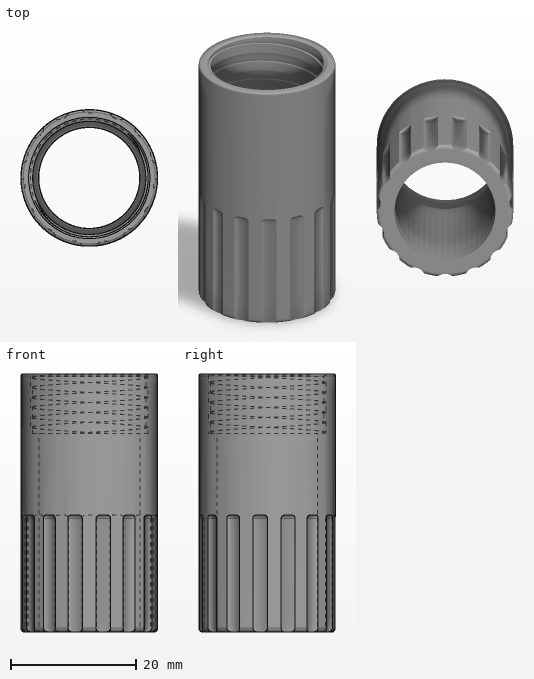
import cadquery as cq
import math

LENGTH = 41.25
OUTER_RADIUS = 21.85 / 2
BORE_RADIUS = 16.15 / 2
TOP_EDGE_RADIUS = 0.37
BOTTOM_EDGE_RADIUS = 0.65

SOCKET_DEPTH = 9.57
CREST_RADIUS = 9.05
ROOT_RADIUS = 9.4
MOUTH_RADIUS = 9.7
MOUTH_DEPTH = 0.4
PITCH = 3.18
GROOVE_WIDTH = PITCH / 2
THREAD_ANGLE = 45.0
START_DEPTH = 12.15
TURNS = 4.1
GROOVE_OVERLAP = 0.2

FLUTE_COUNT = 15
FIRST_FLUTE_ANGLE = 90.0
FLUTE_RADIUS = 1.6
FLUTE_OFFSET = 1.05
FLUTE_LENGTH = 18.75
FLUTE_END_RADIUS = 0.58

SOCKET_FLOOR = LENGTH - SOCKET_DEPTH


def make_sleeve():
    body = cq.Workplane("XY").circle(OUTER_RADIUS).extrude(LENGTH)
    body = body.faces(">Z").edges().fillet(TOP_EDGE_RADIUS)
    body = body.faces("<Z").edges().fillet(BOTTOM_EDGE_RADIUS)
    return body.cut(cq.Workplane("XY").circle(BORE_RADIUS).extrude(LENGTH))


def make_socket():
    return cq.Workplane("XY").workplane(offset=SOCKET_FLOOR).circle(CREST_RADIUS).extrude(SOCKET_DEPTH)


def make_mouth():
    """Conical lead-in at the top of the socket."""
    return (
        cq.Workplane("XZ")
        .moveTo(0, LENGTH - MOUTH_DEPTH)
        .lineTo(CREST_RADIUS, LENGTH - MOUTH_DEPTH)
        .lineTo(MOUTH_RADIUS, LENGTH)
        .lineTo(0, LENGTH)
        .close()
        .revolve(360, (0, 0, 0), (0, 1, 0))
    )


def make_thread_groove():
    """Right-handed square groove, trimmed flush with the socket floor and running out at the mouth."""
    path = cq.Workplane(cq.Wire.makeHelix(PITCH, PITCH * TURNS, CREST_RADIUS))
    inner = CREST_RADIUS - GROOVE_OVERLAP
    groove = (
        cq.Workplane("XZ")
        .center((inner + ROOT_RADIUS) / 2, 0)
        .rect(ROOT_RADIUS - inner, GROOVE_WIDTH)
        .sweep(path, isFrenet=True)
        .rotate((0, 0, 0), (0, 0, 1), THREAD_ANGLE)
        .translate((0, 0, LENGTH - START_DEPTH))
    )
    envelope = (
        cq.Workplane("XY")
        .workplane(offset=SOCKET_FLOOR)
        .circle(MOUTH_RADIUS)
        .extrude(TURNS * PITCH)
    )
    return groove.intersect(envelope)


def make_flute(angle):
    """Round-bottomed flute cutter with a rounded upper end."""
    distance = OUTER_RADIUS + FLUTE_OFFSET
    x = distance * math.cos(math.radians(angle))
    y = distance * math.sin(math.radians(angle))
    return (
        cq.Workplane("XY")
        .center(x, y)
        .circle(FLUTE_RADIUS)
        .extrude(FLUTE_LENGTH)
        .faces(">Z")
        .edges()
        .fillet(FLUTE_END_RADIUS)
    )


result = make_sleeve().cut(make_socket()).cut(make_thread_groove()).cut(make_mouth())
for index in range(FLUTE_COUNT):
    result = result.cut(make_flute(FIRST_FLUTE_ANGLE + index * 360 / FLUTE_COUNT))